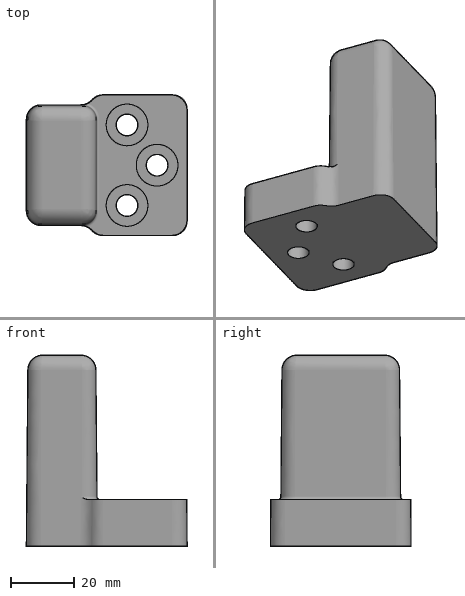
import cadquery as cq

LENGTH = 50.8
HEIGHT = 60.3
DRAFT = 0.5
CORNER_RADIUS = 4.75

BLOCK_LENGTH = 22.5
BLOCK_WIDTH = 38.1

PLATE_WIDTH = 44.45
PLATE_HEIGHT = 14.8
SHOULDER_X = 22.3
ROOT_FILLET = 0.85

HOLE_DIAMETER = 6.75
COUNTERBORE_DIAMETER = 13.15
COUNTERBORE_DEPTH = 6.35
HOLE_PITCH_Y = 25.4
NEAR_HOLE_X = 31.8
FAR_HOLE_X = 41.25
HOLE_CENTRES = [
    (NEAR_HOLE_X, -HOLE_PITCH_Y / 2),
    (NEAR_HOLE_X, HOLE_PITCH_Y / 2),
    (FAR_HOLE_X, 0),
]


def upright_block():
    """Drafted block with rounded corners and a fully rounded top rim."""
    return (
        cq.Workplane("XY")
        .center(BLOCK_LENGTH / 2, 0)
        .sketch()
        .rect(BLOCK_LENGTH, BLOCK_WIDTH)
        .vertices()
        .fillet(CORNER_RADIUS)
        .finalize()
        .extrude(HEIGHT, taper=DRAFT)
        .faces(">Z")
        .edges()
        .fillet(CORNER_RADIUS)
    )


def plate_outline():
    """Plate outline running back inside the block, with blended 45 degree shoulders."""
    half_plate = PLATE_WIDTH / 2
    half_block = BLOCK_WIDTH / 2
    neck_x = SHOULDER_X - (half_plate - half_block)
    inner_x = CORNER_RADIUS
    return (
        cq.Sketch()
        .polygon([
            (inner_x, -half_block),
            (neck_x, -half_block),
            (SHOULDER_X, -half_plate),
            (LENGTH, -half_plate),
            (LENGTH, half_plate),
            (SHOULDER_X, half_plate),
            (neck_x, half_block),
            (inner_x, half_block),
            (inner_x, -half_block),
        ])
        .vertices("not <X")
        .fillet(CORNER_RADIUS)
    )


def drafted_plate(height):
    """Plate extruded from its base outline up to the given height."""
    return cq.Workplane("XY").placeSketch(plate_outline()).extrude(height, taper=DRAFT)


def block_with_root_fillet(block):
    """Block standing on an oversized slab, filleted all round where they meet."""
    slab_side = 2 * (LENGTH + PLATE_WIDTH)
    slab = cq.Workplane("XY").rect(slab_side, slab_side).extrude(PLATE_HEIGHT)
    root_zone = cq.selectors.BoxSelector(
        (-ROOT_FILLET, -PLATE_WIDTH / 2, PLATE_HEIGHT - ROOT_FILLET),
        (LENGTH, PLATE_WIDTH / 2, PLATE_HEIGHT + ROOT_FILLET),
    )
    return block.union(slab).edges(root_zone).fillet(ROOT_FILLET)


def screw_holes():
    """Through holes with counterbores open to the top of the plate."""
    holes = (
        cq.Workplane("XY")
        .pushPoints(HOLE_CENTRES)
        .circle(HOLE_DIAMETER / 2)
        .extrude(PLATE_HEIGHT)
    )
    counterbores = (
        cq.Workplane("XY")
        .workplane(offset=PLATE_HEIGHT - COUNTERBORE_DEPTH)
        .pushPoints(HOLE_CENTRES)
        .circle(COUNTERBORE_DIAMETER / 2)
        .extrude(COUNTERBORE_DEPTH)
    )
    return holes.union(counterbores)


block = upright_block()
trimming_body = block.union(drafted_plate(PLATE_HEIGHT + ROOT_FILLET))
body = block_with_root_fillet(block).intersect(trimming_body)
result = body.cut(screw_holes())